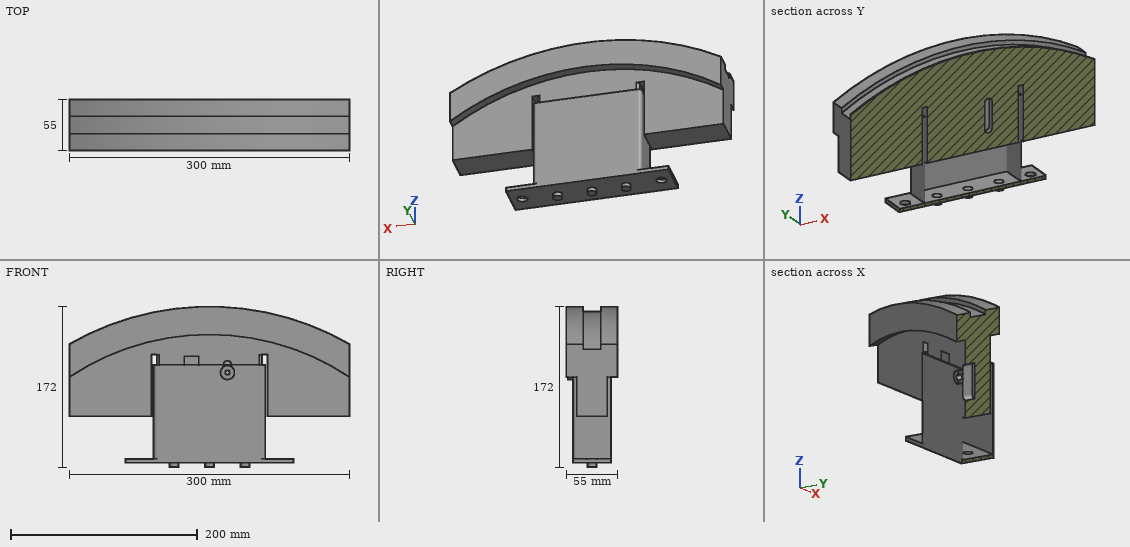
import cadquery as cq

shoe_length = 300
rail_width = 55
rail_outer_radius = 300
rail_thickness = 30
rail_inner_radius = rail_outer_radius - rail_thickness
rail_top = 167.5
arc_center_height = rail_top - rail_outer_radius
groove_width = 19
groove_depth = 5
web_width = 33
web_bottom = 50
notch_width = 124
notch_top = 116
tongue_length = 113
tongue_chamfer = 3

slot_width = 8.5
slot_top = 109.5
slot_depth = 12
slot_bottom = 70
mark_width = 15.5
mark_top = 114
mark_bottom = 94
mark_depth = 0.3
side_offset = 19.3

housing_length = 120
housing_width = 41
housing_top = 105
sheet_thickness = 1.5
corner_radius = 3.75
base_length = 180
base_thickness = 4.5
mount_hole_diameter = 11
mount_hole_spacing = 154

boss_diameter = 15
boss_height = 5.5
boss_hole_diameter = 5
boss_center_height = 96.8

pin_diameter = 10
pin_projection = 4.5
pin_spacing = 38
pin_count = 3


def disc(radius, width):
    """A cylinder about the rail's arc axis, centred on the XZ plane."""
    return (
        cq.Workplane("XZ", origin=(0, width / 2, arc_center_height))
        .circle(radius)
        .extrude(width)
    )


def box_between(length, width, bottom, top):
    """A box centred on the Z axis, from one height to another."""
    return (
        cq.Workplane("XY", origin=(0, 0, bottom))
        .rect(length, width)
        .extrude(top - bottom)
    )


def make_rail():
    groove_floor_radius = rail_outer_radius - groove_depth
    groove = disc(rail_outer_radius, groove_width).cut(disc(groove_floor_radius, groove_width))
    rail = disc(rail_outer_radius, rail_width).cut(disc(rail_inner_radius, rail_width)).cut(groove)
    return rail.intersect(box_between(shoe_length, rail_width, web_bottom, rail_top))


def make_web():
    web_radius = rail_outer_radius - rail_thickness / 2
    web = box_between(shoe_length, web_width, web_bottom, rail_top).intersect(disc(web_radius, web_width))
    tongue = (
        box_between(tongue_length, web_width, web_bottom, notch_top)
        .edges("|Z")
        .chamfer(tongue_chamfer)
    )
    return web.cut(box_between(notch_width, web_width, web_bottom, notch_top)).union(tongue)


def make_limit_slot():
    slot_length = slot_top - slot_bottom
    return (
        cq.Workplane("XZ", origin=(side_offset, -web_width / 2, slot_bottom + slot_length / 2))
        .slot2D(slot_length, slot_width, 90)
        .extrude(-slot_depth)
    )


def make_mark_recess():
    recess = box_between(mark_width, 2 * mark_depth, mark_bottom, mark_top)
    return recess.translate((-side_offset, -web_width / 2, 0))


def make_shoe():
    return make_rail().union(make_web()).cut(make_limit_slot()).cut(make_mark_recess())


def pin_places():
    first = -pin_spacing * (pin_count - 1) / 2
    return [(first + i * pin_spacing, 0) for i in range(pin_count)]


def base_holes(places, diameter):
    """Round holes through the base plate."""
    return cq.Workplane("XY").pushPoints(places).circle(diameter / 2).extrude(base_thickness)


def make_base_plate():
    mount_places = [(side * mount_hole_spacing / 2, 0) for side in (-1, 1)]
    return (
        box_between(base_length, housing_width, 0, base_thickness)
        .cut(base_holes(mount_places, mount_hole_diameter))
        .cut(base_holes(pin_places(), pin_diameter))
    )


def make_walls():
    outside = (
        box_between(housing_length, housing_width, base_thickness, housing_top)
        .edges("|Z")
        .fillet(corner_radius)
    )
    inside = (
        box_between(
            housing_length - 2 * sheet_thickness,
            housing_width - 2 * sheet_thickness,
            base_thickness,
            housing_top,
        )
        .edges("|Z")
        .fillet(corner_radius - sheet_thickness)
    )
    return outside.cut(inside)


def make_housing():
    front = cq.Workplane("XZ", origin=(side_offset, -housing_width / 2, boss_center_height))
    boss = front.circle(boss_diameter / 2).extrude(boss_height)
    hole = front.circle(boss_hole_diameter / 2).extrude(boss_height)
    panel_hole = front.circle(boss_hole_diameter / 2).extrude(-sheet_thickness)
    return make_base_plate().union(make_walls()).union(boss).cut(hole).cut(panel_hole)


def make_pin(place):
    x, y = place
    return (
        cq.Workplane("XY", origin=(x, y, -pin_projection))
        .circle(pin_diameter / 2)
        .extrude(pin_projection + base_thickness)
    )


shoe = make_shoe()
housing = make_housing()
pins = [make_pin(place) for place in pin_places()]

result = cq.Compound.makeCompound([shoe.val(), housing.val(), *[pin.val() for pin in pins]])